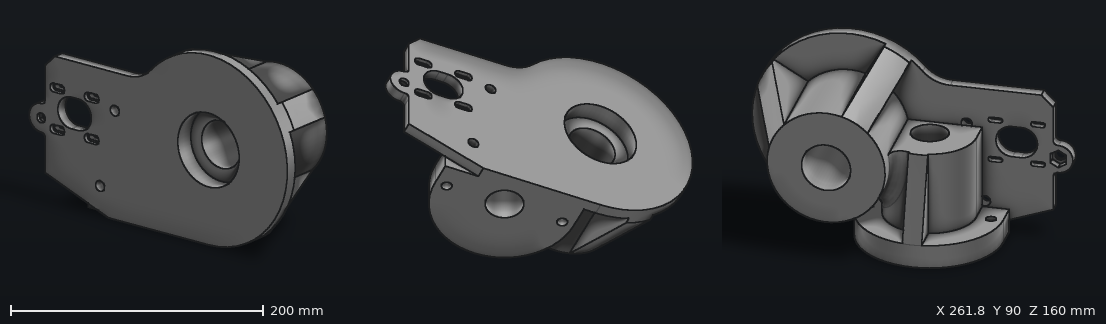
import cadquery as cq
import math


overall_length = 261.8
pick_margin = 0.3

disc_diameter = 160.0
disc_radius = disc_diameter / 2
plate_thickness = 10.0
arm_left = -165.7
arm_top = 44.0
arm_corner_chamfer = 9.7
arm_disc_fillet = 30.0
arm_low_corner_z = -56.3
arm_slope_end_x = -101.3

ear_radius = 12.0
ear_reach = overall_length - disc_radius
ear_x = ear_radius - ear_reach
ear_z = -11.0
ear_hole_diameter = 8.0
nut_across_flats = 13.0
nut_pocket_depth = 6.8
ear_fillet = 4.0

motor_x = -135.9
motor_slot_length = 33.8
motor_slot_width = 26.5
mount_pitch = 34.8
mount_slot_length = 11.5
mount_slot_width = 4.2
mount_recess_margin = 1.5
mount_recess_depth = 4.0

plate_hole_diameter = 9.0
plate_hole_centres = [(-95.0, 11.8), (-110.0, -55.0)]

tower_radius = 48.2
tower_height = 90.0
bore_diameter = 40.0
bearing_seat_diameter = 62.3
bearing_seat_depth = 16.5
rib_width = 24.3
rib_foot_height = 15.2
rib_angles = [30, 120, 300]

post_x = -70.0
post_y = 29.8
post_radius = 38.0
post_top = 10.0
post_tower_fillet = 10.0
socket_diameter = 30.5
flange_radius = 60.0
flange_thickness = 20.0
flange_bottom = -disc_radius
flange_top = flange_bottom + flange_thickness
flange_hole_diameter = 8.5
flange_hole_offset = 50.0
gusset_width = 15.7
gusset_top_radius = 39.8


def front_plane(depth=0):
    """Sketch plane with local x = X and local y = Z; extrusion runs towards +Y for negative lengths."""
    return cq.Workplane("XZ", origin=(0, depth, 0))


def disc_along_y(radius, start, end):
    return front_plane(start).circle(radius).extrude(start - end)


def make_plate():
    fillet_z = arm_top + arm_disc_fillet
    fillet_x = -math.sqrt((disc_radius + arm_disc_fillet) ** 2 - fillet_z ** 2)
    touch = disc_radius / (disc_radius + arm_disc_fillet)
    towards_disc = math.atan2(-fillet_z, -fillet_x)
    middle_angle = (towards_disc - math.pi / 2) / 2
    fillet_middle = (
        fillet_x + arm_disc_fillet * math.cos(middle_angle),
        fillet_z + arm_disc_fillet * math.sin(middle_angle),
    )
    plate = (
        front_plane()
        .moveTo(0, -disc_radius)
        .lineTo(arm_slope_end_x, -disc_radius)
        .lineTo(arm_left, arm_low_corner_z)
        .lineTo(arm_left, arm_top - arm_corner_chamfer)
        .lineTo(arm_left + arm_corner_chamfer, arm_top)
        .lineTo(fillet_x, arm_top)
        .threePointArc(fillet_middle, (fillet_x * touch, fillet_z * touch))
        .threePointArc((disc_radius, 0), (0, -disc_radius))
        .close()
        .extrude(-plate_thickness)
    )
    ear = (
        front_plane()
        .center(ear_x, ear_z)
        .circle(ear_radius)
        .extrude(-plate_thickness)
    )
    bridge = (
        front_plane()
        .center(arm_left, ear_z)
        .rect(2 * (arm_left - ear_x), 2 * ear_radius)
        .extrude(-plate_thickness)
    )
    inner_corners = cq.selectors.BoxSelector(
        (arm_left - pick_margin, -pick_margin, ear_z - ear_radius - pick_margin),
        (arm_left + pick_margin, plate_thickness + pick_margin, ear_z + ear_radius + pick_margin),
    )
    return plate.union(ear).union(bridge).edges("|Y").edges(inner_corners).fillet(ear_fillet)


def make_arched_block(radius, bottom, top):
    """Vertical block that leaves the plate straight and ends in a half circle around the socket."""
    return (
        cq.Workplane("XY", origin=(post_x, 0, bottom))
        .moveTo(-radius, plate_thickness)
        .lineTo(-radius, post_y)
        .threePointArc((0, post_y + radius), (radius, post_y))
        .lineTo(radius, plate_thickness)
        .close()
        .extrude(top - bottom)
    )


def make_rib(angle):
    """Radial rib on the disc whose outer face is a cone around the tower axis."""
    cone = (
        cq.Workplane("XY")
        .moveTo(0, plate_thickness)
        .lineTo(disc_radius, plate_thickness)
        .lineTo(disc_radius, rib_foot_height)
        .lineTo(tower_radius, tower_height)
        .lineTo(0, tower_height)
        .close()
        .revolve(360, (0, 0, 0), (0, 1, 0))
    )
    slab = (
        cq.Workplane("XY")
        .box(disc_radius, tower_height, rib_width, centered=(False, False, True))
        .rotate((0, 0, 0), (0, 1, 0), -angle)
    )
    core = disc_along_y(bearing_seat_diameter / 2, 0, tower_height)
    return cone.intersect(slab).cut(core)


def make_gusset():
    """Rib from the flange rim up to the top of the post, with a conical outer face."""
    cone = (
        cq.Workplane("XZ")
        .moveTo(0, flange_top)
        .lineTo(flange_radius, flange_top)
        .lineTo(gusset_top_radius, post_top)
        .lineTo(0, post_top)
        .close()
        .revolve(360, (0, 0, 0), (0, 1, 0))
    )
    slab = (
        cq.Workplane("XY", origin=(0, 0, flange_top))
        .box(gusset_width, flange_radius, post_top - flange_top, centered=(True, False, False))
    )
    return cone.intersect(slab).translate((post_x, post_y, 0))


def make_tower_and_post():
    tower = disc_along_y(tower_radius, plate_thickness, tower_height)
    post = make_arched_block(post_radius, flange_top, post_top)
    joint = cq.selectors.BoxSelector(
        (-tower_radius, post_y, -tower_radius),
        (post_x + post_radius, tower_height - pick_margin, post_top - pick_margin),
    )
    return tower.union(post).edges(joint).fillet(post_tower_fillet)


def slot_cutter(length, width, centres, depth):
    return front_plane().pushPoints(centres).slot2D(length, width).extrude(-depth)


def hole_cutter(diameter, centres, depth):
    return front_plane().pushPoints(centres).circle(diameter / 2).extrude(-depth)


body = make_plate().union(make_tower_and_post())
body = body.union(make_arched_block(flange_radius, flange_bottom, flange_top))
body = body.union(make_gusset())
for rib_angle in rib_angles:
    body = body.union(make_rib(rib_angle))

body = body.cut(hole_cutter(bore_diameter, [(0, 0)], tower_height))
body = body.cut(hole_cutter(bearing_seat_diameter, [(0, 0)], bearing_seat_depth))

mount_centres = [
    (motor_x + side * mount_pitch / 2, level * mount_pitch / 2)
    for side in (-1, 1)
    for level in (-1, 1)
]
recess_length = mount_slot_length + 2 * mount_recess_margin
recess_width = mount_slot_width + 2 * mount_recess_margin
body = body.cut(slot_cutter(motor_slot_length, motor_slot_width, [(motor_x, 0)], plate_thickness))
body = body.cut(slot_cutter(mount_slot_length, mount_slot_width, mount_centres, plate_thickness))
body = body.cut(slot_cutter(recess_length, recess_width, mount_centres, mount_recess_depth))
body = body.cut(hole_cutter(plate_hole_diameter, plate_hole_centres, plate_thickness))
body = body.cut(hole_cutter(ear_hole_diameter, [(ear_x, ear_z)], plate_thickness))
nut_pocket = (
    front_plane(plate_thickness - nut_pocket_depth)
    .center(ear_x, ear_z)
    .polygon(6, nut_across_flats, circumscribed=True)
    .extrude(-nut_pocket_depth)
)
body = body.cut(nut_pocket)

flange_plane = cq.Workplane("XY", origin=(post_x, post_y, flange_bottom))
socket = flange_plane.circle(socket_diameter / 2).extrude(post_top - flange_bottom)
flange_holes = (
    flange_plane
    .pushPoints([(-flange_hole_offset, 0), (flange_hole_offset, 0)])
    .circle(flange_hole_diameter / 2)
    .extrude(flange_thickness)
)
result = body.cut(socket).cut(flange_holes)